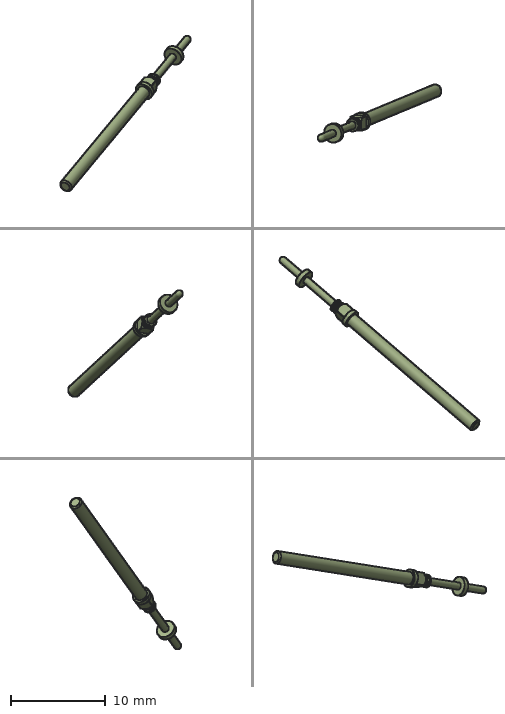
import cadquery as cq

LENGTH = 29.1

BARREL_DIA = 1.37
COLLAR_DIA = 1.9
PLUNGER_DIA = 0.8
FLANGE_DIA = 2.0

END_CHAMFER_LENGTH = 0.15
END_CHAMFER_DEPTH = 0.17
COLLAR_BACK = 18.48
COLLAR_LENGTH = 0.47

SQUARE_LENGTH = 1.3

HEAD_FRONT = 20.98
HEAD_LIP = 0.2
GROOVE_WIDTH = 0.32
GROOVE_DEPTH = 0.12

NECK_LENGTH = 0.35
NECK_FLARE = 0.035
FLANGE_BACK = 25.35
FLANGE_LENGTH = 0.52

barrel_radius = BARREL_DIA / 2
collar_radius = COLLAR_DIA / 2
plunger_radius = PLUNGER_DIA / 2
collar_front = COLLAR_BACK + COLLAR_LENGTH
square_front = collar_front + SQUARE_LENGTH
lead_in = collar_radius - barrel_radius


def cylinder(diameter, start, length):
    """Round bar along +Y, starting at Y = start."""
    return cq.Workplane("XZ", origin=(0, start, 0)).circle(diameter / 2).extrude(-length)


def revolve_about_y(profile):
    """Revolve a closed half profile, drawn as (radius, Y), about the Y axis."""
    return profile.close().revolve(360, (0, 0, 0), (0, 1, 0))


def make_barrel():
    barrel = cylinder(BARREL_DIA, 0, COLLAR_BACK)
    return barrel.faces("<Y").chamfer(END_CHAMFER_LENGTH, END_CHAMFER_DEPTH)


def make_head():
    """Round mouth of the barrel, ahead of the square section."""
    head = cylinder(BARREL_DIA, square_front, HEAD_FRONT - square_front)
    groove_front = HEAD_FRONT - HEAD_LIP
    groove = revolve_about_y(
        cq.Workplane("XY")
        .moveTo(barrel_radius, groove_front)
        .lineTo(barrel_radius - GROOVE_DEPTH, groove_front - GROOVE_WIDTH / 2)
        .lineTo(barrel_radius, groove_front - GROOVE_WIDTH)
    )
    return head.cut(groove)


def make_square_section():
    """Four flats, level with the barrel surface, cut on a round blank as wide as the collar."""
    blank = cylinder(COLLAR_DIA, collar_front, SQUARE_LENGTH).faces(">Y").chamfer(lead_in)
    square = cq.Workplane("XY").box(BARREL_DIA, 2 * LENGTH, BARREL_DIA)
    return blank.intersect(square)


def make_plunger():
    """Rod with a hemispherical tip and a neck that flares gently into the barrel mouth."""
    dome_start = LENGTH - plunger_radius
    dome_diagonal = plunger_radius * 0.5 ** 0.5
    neck_front = HEAD_FRONT + NECK_LENGTH
    return revolve_about_y(
        cq.Workplane("XY")
        .moveTo(0, HEAD_FRONT)
        .lineTo(plunger_radius + NECK_FLARE, HEAD_FRONT)
        .threePointArc(
            (plunger_radius + NECK_FLARE / 4, HEAD_FRONT + NECK_LENGTH / 2),
            (plunger_radius, neck_front),
        )
        .lineTo(plunger_radius, dome_start)
        .threePointArc((dome_diagonal, dome_start + dome_diagonal), (0, LENGTH))
    )


result = (
    make_barrel()
    .union(cylinder(COLLAR_DIA, COLLAR_BACK, COLLAR_LENGTH))
    .union(make_square_section())
    .union(make_head())
    .union(make_plunger())
    .union(cylinder(FLANGE_DIA, FLANGE_BACK, FLANGE_LENGTH))
)